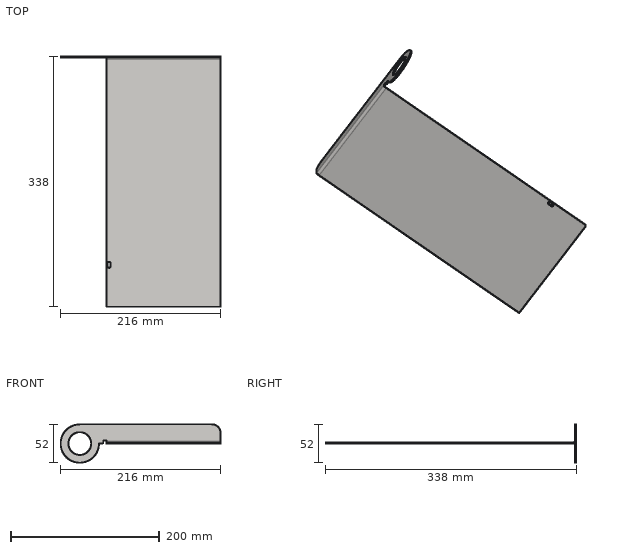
import cadquery as cq

length_x = 216.0
length_y = 338.0
eye_diameter = 52.0
hole_diameter = 30.5

sheet = 2.0
bend_inner_radius = sheet
bend_outer_radius = bend_inner_radius + sheet
plate_bottom = 0.0
plate_width = 154.0
plate_corner_radius = 1.7

flange_corner_radius = 11.8
relief_width = 4.0
step_corner_radius = 1.7

slot_width = 3.5
slot_length = 8.0
slot_from_side = 3.7
slot_from_front = 56.8

eye_radius = eye_diameter / 2
right_x = length_x - eye_radius
plate_left_x = right_x - plate_width
relief_left_x = plate_left_x - relief_width
bend_top = plate_bottom + bend_outer_radius
bend_front_y = -bend_outer_radius


def upright_flange():
    """Flat vertical flange with a round eye at its left end."""
    step_corner_start_x = relief_left_x - step_corner_radius
    step_corner_top = plate_bottom + step_corner_radius
    return (
        cq.Workplane("XZ")
        .moveTo(0, eye_radius)
        .lineTo(right_x - flange_corner_radius, eye_radius)
        .radiusArc((right_x, eye_radius - flange_corner_radius), flange_corner_radius)
        .lineTo(right_x, bend_top)
        .lineTo(relief_left_x, bend_top)
        .lineTo(relief_left_x, step_corner_top)
        .radiusArc((step_corner_start_x, plate_bottom), step_corner_radius)
        .lineTo(eye_radius, plate_bottom)
        .threePointArc((0, -eye_radius), (-eye_radius, 0))
        .radiusArc((0, eye_radius), eye_radius)
        .close()
        .extrude(sheet)
        .cut(cq.Workplane("XZ").circle(hole_diameter / 2).extrude(sheet))
    )


def bend_and_plate():
    """Quarter-round bend under the flange, running into the horizontal plate."""
    plate_top = plate_bottom + sheet
    folded_strip = (
        cq.Workplane("YZ", origin=(plate_left_x, 0, 0))
        .moveTo(0, bend_top)
        .radiusArc((bend_front_y, plate_bottom), bend_outer_radius)
        .lineTo(-length_y, plate_bottom)
        .lineTo(-length_y, plate_top)
        .lineTo(bend_front_y, plate_top)
        .radiusArc((-sheet, bend_top), -bend_inner_radius)
        .close()
        .extrude(plate_width)
    )
    return folded_strip.edges("|Z and <Y and <X").fillet(plate_corner_radius)


def plate_slot():
    """Round-ended slot through the plate, beside its left edge."""
    slot_x = plate_left_x + slot_from_side
    slot_y = slot_from_front - length_y
    return (
        cq.Workplane("XY", origin=(slot_x, slot_y, plate_bottom))
        .slot2D(slot_length, slot_width, 90)
        .extrude(sheet)
    )


result = upright_flange().union(bend_and_plate()).cut(plate_slot())